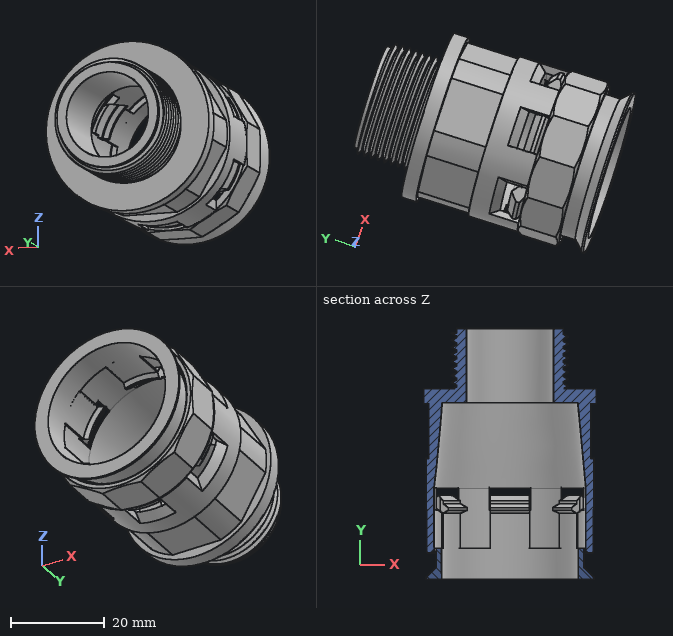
import cadquery as cq
import math

LENGTH = 53.65

NUT_FRONT = 5.65
NUT_BACK = 14.85
COLLAR_BACK = 25.85
FLANGE_FRONT = 37.5
FLANGE_BACK = 40.8
THREAD_END = 52.7

NUT_SIDES = 12
NUT_ACROSS_FLATS = 35.65
NUT_CHAMFER_LENGTH = 0.7
NUT_FRONT_CHAMFER_DEPTH = 0.9
NUT_BACK_CHAMFER_DEPTH = 0.7
COLLAR_RADIUS = 18.0
HEX_ACROSS_FLATS = 32.65
HEX_CORNER_RADIUS = 17.4
FLANGE_DIAMETER = 37.0
THREAD_ROOT_RADIUS = 11.45
THREAD_CREST_RADIUS = 12.5
THREAD_PITCH = 1.5
THREAD_BASE = 1.25
THREAD_CREST_Y = 51.1

CABLE_HOLE_RADIUS = 9.3
BORE_RADIUS = 16.2
BORE_CHAMFER = 0.45
CONE_FRONT = 19.5
CONE_END_RADIUS = 14.5
BORE_FLOOR = 37.75

WINDOW_BACK = 21.4
TOP_WINDOW_HALF_WIDTH = 4.4
SIDE_WINDOW_X = 11.0
SIDE_WALL_HALF_WIDTH = 4.7
SIDE_WALL_ANGLE = 26.0

SLEEVE_RADIUS = 15.9
SLEEVE_BORE_RADIUS = 14.6
LIP_RADIUS = 18.0
LIP_THICKNESS = 0.45
LIP_CONE_END = 2.5
SLOT_FRONT = 6.7
SIDE_SLOT_HALF_WIDTH = 3.05
TOP_FINGER_HALF_WIDTH = 4.25
SIDE_FINGER_TOP = 10.05
FINGER_RADIUS = 14.85

SHOULDER_RADIUS = 15.25
BARB_RADIUS = 17.35
BARB_FRONT = 14.3
BARB_EDGE_FRONT = 15.65
BARB_EDGE_BACK = 16.5
BARB_GAP = 0.1
CLAW_TIP = 18.05
TIP_RADIUS = 15.85
TIP_CHAMFER = TIP_RADIUS - SLEEVE_BORE_RADIUS
RIDGE_RADIUS = 13.6
RIDGE_FRONT = 14.1
RIDGE_TOP_FRONT = 14.75
RIDGE_TOP_BACK = 15.35
RIDGE_BACK = 16.2

REACH = 21.45


def cylinder(radius, start, end):
    """Solid cylinder about the Y axis between two stations."""
    return cq.Workplane("XZ", origin=(0, start, 0)).circle(radius).extrude(start - end)


def prism(sides, across_flats, start, end):
    """Regular prism about the Y axis with one flat facing +Z."""
    corner_diameter = across_flats / math.cos(math.pi / sides)
    blank = cq.Workplane("XZ", origin=(0, start, 0)).polygon(sides, corner_diameter).extrude(start - end)
    return blank.rotate((0, 0, 0), (0, 1, 0), 90 - 180 / sides)


def revolved(profile):
    """Solid of revolution about Y from (radius, y) points."""
    return cq.Workplane("XY").polyline(profile).close().revolve(360, (0, 0, 0), (0, 1, 0))


def block(x_range, y_range, z_range):
    """Box between two limits along each axis."""
    sizes = [high - low for low, high in (x_range, y_range, z_range)]
    corner = (x_range[0], y_range[0], z_range[0])
    return cq.Workplane("XY", origin=corner).box(*sizes, centered=False)


def nut():
    """Twelve-sided wrench section with its corners turned down at both ends."""
    corner = NUT_ACROSS_FLATS / 2 / math.cos(math.pi / NUT_SIDES)
    turned = revolved([
        (0, NUT_FRONT),
        (corner - NUT_FRONT_CHAMFER_DEPTH, NUT_FRONT),
        (corner, NUT_FRONT + NUT_CHAMFER_LENGTH),
        (corner, NUT_BACK - NUT_CHAMFER_LENGTH),
        (corner - NUT_BACK_CHAMFER_DEPTH, NUT_BACK),
        (0, NUT_BACK),
    ])
    return prism(NUT_SIDES, NUT_ACROSS_FLATS, NUT_FRONT, NUT_BACK).intersect(turned)


def hex_section():
    """Hexagon with its corners rounded to a cylinder."""
    hexagon = prism(6, HEX_ACROSS_FLATS, COLLAR_BACK, FLANGE_FRONT)
    return hexagon.intersect(cylinder(HEX_CORNER_RADIUS, COLLAR_BACK, FLANGE_FRONT))


def thread():
    """Left-hand V thread between the flange and the plain end, with its root cylinder."""
    overlap = 0.1
    turns_below = math.ceil((THREAD_CREST_Y - FLANGE_BACK) / THREAD_PITCH) + 1
    start = THREAD_CREST_Y - turns_below * THREAD_PITCH
    height = (turns_below + 3) * THREAD_PITCH
    root = THREAD_ROOT_RADIUS - overlap
    half_base = THREAD_BASE / 2 * (1 + overlap / (THREAD_CREST_RADIUS - THREAD_ROOT_RADIUS))
    tooth = [(root, -half_base), (THREAD_CREST_RADIUS, 0), (root, half_base)]
    path = cq.Workplane(cq.Wire.makeHelix(THREAD_PITCH, height, root, lefthand=True))
    ridge = cq.Workplane("XZ").polyline(tooth).close().sweep(path, isFrenet=True)
    ridge = ridge.rotate((0, 0, 0), (1, 0, 0), -90).rotate((0, 0, 0), (0, 1, 0), 180)
    ridge = ridge.translate((0, start, 0))
    ridge = ridge.intersect(cylinder(REACH, FLANGE_BACK, THREAD_END))
    return cylinder(THREAD_ROOT_RADIUS, FLANGE_BACK, LENGTH).union(ridge)


def housing_bore():
    """Chamfered straight entry, tapered seat with a flat floor, and the cable hole."""
    return revolved([
        (0, NUT_FRONT),
        (BORE_RADIUS + BORE_CHAMFER, NUT_FRONT),
        (BORE_RADIUS, NUT_FRONT + BORE_CHAMFER),
        (BORE_RADIUS, CONE_FRONT),
        (CONE_END_RADIUS, BORE_FLOOR),
        (CABLE_HOLE_RADIUS, BORE_FLOOR),
        (CABLE_HOLE_RADIUS, LENGTH),
        (0, LENGTH),
    ])


def side_walls(gap=0.0):
    """Wedges on the X sides that separate the side windows, widened by a gap on each face."""
    outer_x = math.sqrt(COLLAR_RADIUS**2 - SIDE_WALL_HALF_WIDTH**2)
    slope = math.tan(math.radians(SIDE_WALL_ANGLE))
    inner_z = SIDE_WALL_HALF_WIDTH - slope * (outer_x - SIDE_WINDOW_X) + gap
    reach_z = SIDE_WALL_HALF_WIDTH + slope * (REACH - outer_x) + gap
    wedge = [(SIDE_WINDOW_X, -inner_z), (REACH, -reach_z), (REACH, reach_z), (SIDE_WINDOW_X, inner_z)]
    wall = cq.Workplane("XZ").polyline(wedge).close().extrude(-LENGTH)
    return wall.union(wall.mirror("YZ"))


def windows():
    """Six latch windows through the collar wall, their back face sloping in towards the front."""
    slope = (WINDOW_BACK - CONE_FRONT) / (COLLAR_RADIUS - BORE_RADIUS)
    inner = BORE_RADIUS - 0.55
    outer = COLLAR_RADIUS + 0.55
    ring = revolved([
        (inner, NUT_BACK),
        (outer, NUT_BACK),
        (outer, WINDOW_BACK + slope * (outer - COLLAR_RADIUS)),
        (inner, CONE_FRONT - slope * (BORE_RADIUS - inner)),
    ])
    along = (NUT_BACK, COLLAR_BACK)
    openings = block((-TOP_WINDOW_HALF_WIDTH, TOP_WINDOW_HALF_WIDTH), along, (-REACH, REACH))
    for x_range in ((-REACH, -SIDE_WINDOW_X), (SIDE_WINDOW_X, REACH)):
        openings = openings.union(block(x_range, along, (-REACH, REACH)))
    return ring.intersect(openings.cut(side_walls()))


def make_housing():
    """Threaded housing with flange, hexagon, windowed collar and wrench section."""
    body = (
        nut()
        .union(cylinder(COLLAR_RADIUS, NUT_BACK, COLLAR_BACK))
        .union(hex_section())
        .union(cylinder(FLANGE_DIAMETER / 2, FLANGE_FRONT, FLANGE_BACK))
        .union(thread())
    )
    return body.cut(housing_bore()).cut(windows())


def finger_slots():
    """Six gaps that divide the back of the sleeve into fingers."""
    along = (SLOT_FRONT, LENGTH)
    slots = block((-REACH, REACH), along, (-SIDE_SLOT_HALF_WIDTH, SIDE_SLOT_HALF_WIDTH))
    for x_range in ((-REACH, -TOP_FINGER_HALF_WIDTH), (TOP_FINGER_HALF_WIDTH, REACH)):
        for z_range in ((-REACH, -SIDE_FINGER_TOP), (SIDE_FINGER_TOP, REACH)):
            slots = slots.union(block(x_range, along, z_range))
    return slots


def claw_profile():
    """Section of a finger end: conduit ridge inside, barb outside and a chamfered tip."""
    return revolved([
        (SLEEVE_BORE_RADIUS, RIDGE_FRONT),
        (FINGER_RADIUS, BARB_FRONT),
        (BARB_RADIUS, BARB_EDGE_FRONT),
        (BARB_RADIUS, BARB_EDGE_BACK),
        (TIP_RADIUS, CLAW_TIP),
        (SLEEVE_BORE_RADIUS, CLAW_TIP - TIP_CHAMFER),
        (SLEEVE_BORE_RADIUS, RIDGE_BACK),
        (RIDGE_RADIUS, RIDGE_TOP_BACK),
        (RIDGE_RADIUS, RIDGE_TOP_FRONT),
    ])


def barb_trim():
    """Outer zones on the X sides where the barbs must clear the collar wall beside the windows."""
    return side_walls(BARB_GAP).cut(cylinder(SHOULDER_RADIUS, 0, LENGTH))


def make_sleeve():
    """Flared clamping sleeve whose six thin fingers end in claws that snap into the windows."""
    ring = revolved([
        (SLEEVE_BORE_RADIUS, 0),
        (LIP_RADIUS, 0),
        (LIP_RADIUS, LIP_THICKNESS),
        (SLEEVE_RADIUS, LIP_CONE_END),
        (SLEEVE_RADIUS, SLOT_FRONT),
        (FINGER_RADIUS, SLOT_FRONT),
        (FINGER_RADIUS, BARB_FRONT),
        (SLEEVE_BORE_RADIUS, RIDGE_FRONT),
    ])
    return ring.union(claw_profile().cut(barb_trim())).cut(finger_slots())


housing = make_housing()
sleeve = make_sleeve()
result = cq.Compound.makeCompound([housing.val(), sleeve.val()])